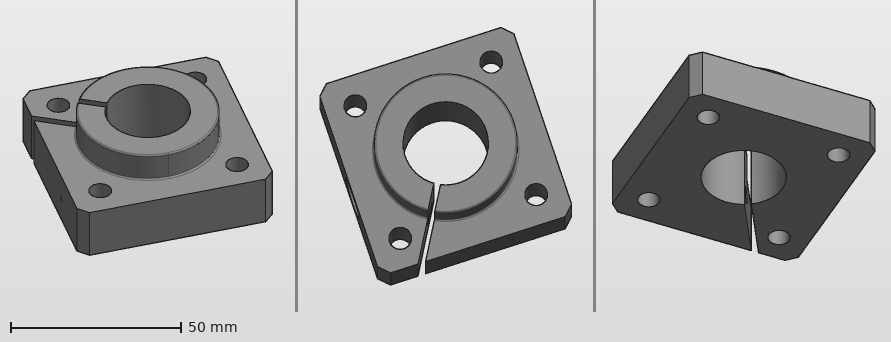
import cadquery as cq
import math

side = 60.0
base_height = 16.0
corner_chamfer = 3.0

total_height = 25.0
boss_diameter = 42.0
boss_fillet = 0.5
bore_diameter = 25.0

mount_hole_diameter = 6.6
mount_hole_spacing = 42.0

slit_width = 2.0
slit_direction = -120.0

screw_radius_from_center = 18.0
screw_height = base_height / 2
head_diameter = 11.0
clearance_diameter = 6.6
thread_diameter = 4.9
head_seat_distance = 14.1
thread_end_distance = 24.65


def base_block():
    block = cq.Workplane("XY").box(side, side, base_height, centered=(True, True, False))
    return block.edges("|Z").chamfer(corner_chamfer)


def boss():
    """Boss turned about Z, with a rounded rim and a filleted foot."""
    radius = boss_diameter / 2
    foot_radius = radius + boss_fillet
    return (
        cq.Workplane("XZ")
        .lineTo(foot_radius, 0)
        .lineTo(foot_radius, base_height)
        .radiusArc((radius, base_height + boss_fillet), boss_fillet)
        .lineTo(radius, total_height - boss_fillet)
        .radiusArc((radius - boss_fillet, total_height), -boss_fillet)
        .lineTo(0, total_height)
        .close()
        .revolve(360, (0, 0, 0), (0, 1, 0))
    )


def bore():
    return cq.Workplane("XY").circle(bore_diameter / 2).extrude(total_height)


def mount_holes():
    return (
        cq.Workplane("XY")
        .rect(mount_hole_spacing, mount_hole_spacing, forConstruction=True)
        .vertices()
        .circle(mount_hole_diameter / 2)
        .extrude(base_height)
    )


def slit():
    return (
        cq.Workplane("XY")
        .box(side, slit_width, total_height, centered=(False, True, False))
        .rotate((0, 0, 0), (0, 0, 1), slit_direction)
    )


def screw_hole():
    """Head counterbore, clearance hole up to the slit and blind threaded hole beyond it."""
    angle = math.radians(slit_direction)
    center = cq.Vector(
        screw_radius_from_center * math.cos(angle),
        screw_radius_from_center * math.sin(angle),
        screw_height,
    )
    axis = cq.Vector(-math.sin(angle), math.cos(angle), 0)

    def bore_along_axis(diameter, start, end):
        return cq.Solid.makeCylinder(diameter / 2, end - start, center + axis * start, axis)

    head = bore_along_axis(head_diameter, -side, -head_seat_distance)
    clearance = bore_along_axis(clearance_diameter, -head_seat_distance, 0)
    thread = bore_along_axis(thread_diameter, 0, thread_end_distance)
    return cq.Workplane(head).union(cq.Workplane(clearance)).union(cq.Workplane(thread))


result = (
    base_block()
    .union(boss())
    .cut(bore())
    .cut(mount_holes())
    .cut(slit())
    .cut(screw_hole())
)